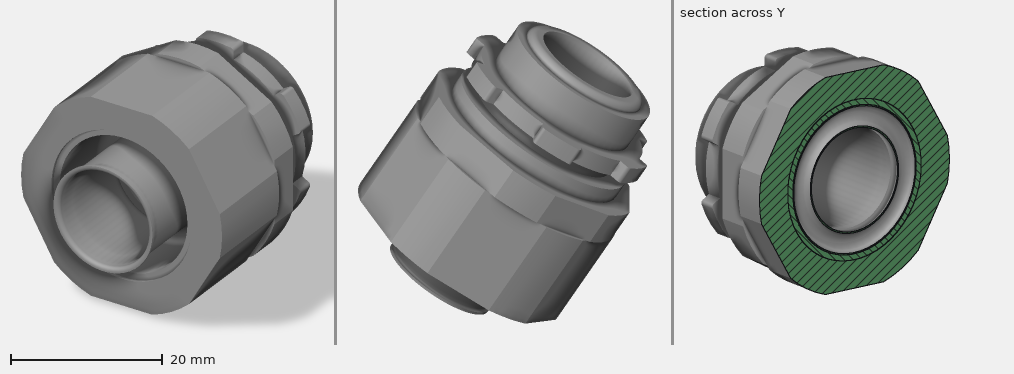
import cadquery as cq


total_length = 36.0
nut_front = 4.55
shoulder_front = 18.5
gasket_front = 23.0
gasket_rear = 25.27
locknut_front = 27.3
locknut_rear = 29.7
thread_end = 34.95

hex_across_flats = 30.0
hex_corner_diameter = 31.5
flats_offset_angle = 30
nut_bore_diameter = 22.0
ring_recess = 0.5
thread_diameter = 20.95

ring_bore_diameter = 20.0
sheet_thickness = 0.25
tube_bore_diameter = 14.0
lip_diameter = 15.5
lip_thickness = 0.35
cup_corner_radius = 1.0
tube_root_radius = 1.5
cup_rim = 14.0
flare_radius = 0.25

gasket_diameter = 26.0
locknut_root_diameter = 25.38
tab_count = 6
tab_tip_diameter = 28.45
tab_width = 5.95
tab_edge_radius = 0.5
insert_diameter = 18.0
insert_depth = 4.5

ring_front = nut_front + ring_recess
cup_diameter = ring_bore_diameter + 2 * sheet_thickness
cup_floor = cup_rim + cup_corner_radius
cup_seat = cup_floor + sheet_thickness
insert_front = thread_end - insert_depth
insert_rim_radius = total_length - thread_end


def cylinder(diameter, start, end):
    """Solid cylinder on the Y axis between two stations."""
    return cq.Workplane("XZ", origin=(0, start, 0)).circle(diameter / 2).extrude(start - end)


def tube(outer_diameter, bore_diameter, start, end):
    """Plain ring on the Y axis between two stations."""
    return cylinder(outer_diameter, start, end).cut(cylinder(bore_diameter, start, end))


def rounded_hexagon(start, end):
    """Hexagonal prism with flats facing -X and +X and its corners turned down."""
    prism = (
        cq.Workplane("XZ", origin=(0, start, 0))
        .polygon(6, hex_across_flats, circumscribed=True)
        .extrude(start - end)
    )
    return prism.intersect(cylinder(hex_corner_diameter, start, end))


def make_gland_nut():
    """Hexagonal nut with flats on top and bottom and a plain through bore."""
    nut = rounded_hexagon(nut_front, shoulder_front).rotate((0, 0, 0), (0, 1, 0), flats_offset_angle)
    return nut.cut(cylinder(nut_bore_diameter, nut_front, shoulder_front))


def make_sealing_ring():
    """Sleeve set slightly back in the nut bore, ending at the rim of the ferrule cup."""
    return tube(nut_bore_diameter, ring_bore_diameter, ring_front, cup_rim)


def make_ferrule():
    """Sheet-metal tube with a flared lip in front and a rounded cup behind."""
    bore = tube_bore_diameter / 2
    outside = bore + sheet_thickness
    lip = lip_diameter / 2
    flare_end = lip_thickness + flare_radius
    root_start = cup_floor - tube_root_radius
    cup_inside = ring_bore_diameter / 2
    cup_outside = cup_diameter / 2
    cup_outer_radius = cup_corner_radius + sheet_thickness
    section = (
        cq.Workplane("XY")
        .moveTo(lip, 0)
        .lineTo(lip, lip_thickness)
        .lineTo(outside + flare_radius, lip_thickness)
        .tangentArcPoint((outside, flare_end), relative=False)
        .lineTo(outside, root_start)
        .tangentArcPoint((outside + tube_root_radius, cup_floor), relative=False)
        .lineTo(cup_inside - cup_corner_radius, cup_floor)
        .tangentArcPoint((cup_inside, cup_rim), relative=False)
        .lineTo(cup_outside, cup_rim)
        .radiusArc((cup_inside - cup_corner_radius, cup_seat), -cup_outer_radius)
        .lineTo(outside + tube_root_radius, cup_seat)
        .tangentArcPoint((bore, root_start), relative=False)
        .lineTo(bore, flare_end)
        .tangentArcPoint((bore + flare_end, 0), relative=False)
        .close()
    )
    return section.revolve(360, (0, 0, 0), (0, 1, 0))


def make_body():
    """Boss inside the nut, hexagonal shoulder and threaded barrel on one bore."""
    shoulder = rounded_hexagon(shoulder_front, gasket_front)
    boss = cylinder(nut_bore_diameter, cup_rim, shoulder_front)
    barrel = cylinder(thread_diameter, gasket_front, thread_end)
    body = shoulder.union(boss).union(barrel)
    body = body.cut(cylinder(cup_diameter, cup_rim, cup_seat))
    body = body.cut(cylinder(tube_bore_diameter, cup_seat, insert_front))
    return body.cut(cylinder(insert_diameter, insert_front, thread_end))


def make_gasket():
    """Flat sealing washer against the rear of the shoulder."""
    return tube(gasket_diameter, thread_diameter, gasket_front, gasket_rear)


def make_locknut():
    """Ring with evenly spaced straight-sided tabs, rounded along their outer edges."""
    thickness = locknut_rear - locknut_front
    tab = (
        cq.Workplane("XY")
        .box(tab_width, thickness, tab_tip_diameter / 2, centered=(True, False, False))
        .translate((0, locknut_front, 0))
        .intersect(cylinder(tab_tip_diameter, locknut_front, locknut_rear))
        .edges("|Y")
        .edges(">Z")
        .fillet(tab_edge_radius)
    )
    locknut = cylinder(locknut_root_diameter, locknut_front, locknut_rear)
    for index in range(tab_count):
        locknut = locknut.union(tab.rotate((0, 0, 0), (0, 1, 0), index * 360 / tab_count))
    return locknut.cut(cylinder(thread_diameter, locknut_front, locknut_rear))


def make_throat_insert():
    """Sleeve seated in the rear of the body, its protruding rim rounded outside."""
    insert = cylinder(insert_diameter, insert_front, total_length)
    insert = insert.faces(">Y").edges().fillet(insert_rim_radius)
    return insert.cut(cylinder(tube_bore_diameter, insert_front, total_length))


gland_nut = make_gland_nut()
sealing_ring = make_sealing_ring()
ferrule = make_ferrule()
body = make_body()
gasket = make_gasket()
locknut = make_locknut()
throat_insert = make_throat_insert()

result = cq.Compound.makeCompound([
    gland_nut.val(),
    sealing_ring.val(),
    ferrule.val(),
    body.val(),
    gasket.val(),
    locknut.val(),
    throat_insert.val(),
])